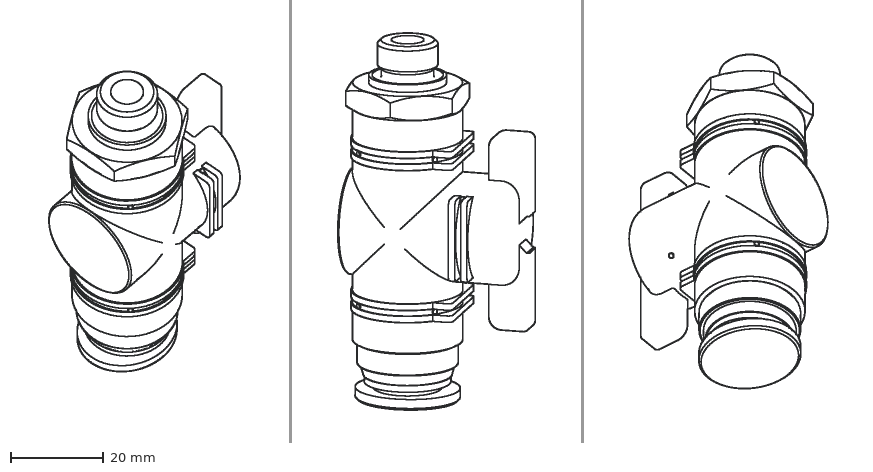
import cadquery as cq
import math


body_radius = 12.0
body_half_length = 26.1
front_disc_depth = 12.5
front_disc_chamfer = 0.4
branch_height = 25.95
branch_fillet = 4.0

hex_across_corners = 27.7
hex_top = 31.6
hex_chamfer_radius = 11.9
hex_chamfer_angle = 30

flange_radius = 8.5
flange_top = 33.3
groove_outer_radius = 7.7
groove_cone_depth = 0.7
nipple_neck_radius = 5.7
thread_radius = 6.6
thread_bottom = 35.7
thread_top = 41.2
thread_top_chamfer = 0.8
bore_radius = 3.55

cartridge_radius = 11.05
cartridge_top_chamfer = 0.5
cartridge_bottom_chamfer = 0.25
cartridge_bottom = -31.5
cone_top_radius = 10.1
cone_top = -32.6
cone_bottom_radius = 9.7
cone_bottom = -34.0
tip_radius = 9.4
tip_bottom = -35.55

collar_neck_radius = 7.4
collar_flange_top = -36.9
collar_bottom = -39.4
collar_half_width = 10.3
collar_half_depth = 11.5
collar_chamfer = 0.5

rib_thickness = 1.45
rib_gap = 1.3
rib_ring_radius = 12.3
tab_half_width = 9.1
tab_reach = 12.6
tab_corner_radius = 1.05
body_rib_height = 17.1
branch_rib_height = 14.9

stud_radius = 0.6
stud_height = 0.3

handle_half_thickness = 2.7
handle_half_length = 21.9
handle_outer = 28.2
handle_inner = 18.95
handle_outer_corner = 1.5
handle_inner_corner = 2.9
handle_edge_fillet = 0.5
notch_half_width = 4.1
notch_wall_bottom = 27.65


def cylinder(radius, bottom, top):
    """Cylinder on the Z axis."""
    return cq.Workplane("XY").workplane(offset=bottom).circle(radius).extrude(top - bottom)


def along_branch(shape):
    """Turn a shape from the Z axis onto the Y axis, sending +Y to -Z."""
    return shape.rotate((0, 0, 0), (1, 0, 0), -90)


def make_tee():
    main = cylinder(body_radius, -body_half_length, body_half_length)
    branch = cylinder(body_radius, -front_disc_depth, branch_height)
    branch = branch.faces(">Z").edges().fillet(branch_fillet)
    branch = branch.faces("<Z").edges().chamfer(front_disc_chamfer)
    return main.union(along_branch(branch))


def make_hexagon():
    """Hexagon with its corners on the X axis, both ends turned to a cone."""
    height = hex_top - body_half_length
    blank = (
        cq.Workplane("XY")
        .workplane(offset=body_half_length)
        .polygon(6, hex_across_corners)
        .extrude(height)
    )
    corner_radius = hex_across_corners / 2
    drop = (corner_radius - hex_chamfer_radius) * math.tan(math.radians(hex_chamfer_angle))
    envelope = (
        cq.Workplane("XZ")
        .moveTo(0, body_half_length)
        .lineTo(hex_chamfer_radius, body_half_length)
        .lineTo(corner_radius, body_half_length + drop)
        .lineTo(corner_radius, hex_top - drop)
        .lineTo(hex_chamfer_radius, hex_top)
        .lineTo(0, hex_top)
        .close()
        .revolve(360, (0, 0, 0), (0, 1, 0))
    )
    return blank.intersect(envelope)


def make_nipple():
    """Flange with a rounded groove round the neck, then the thread."""
    cone_inner_radius = groove_outer_radius - groove_cone_depth
    slope = math.sqrt(0.5)
    arc_radius = (cone_inner_radius - nipple_neck_radius) / (1 + slope)
    arc_center_x = nipple_neck_radius + arc_radius
    arc_center_z = flange_top - groove_cone_depth + arc_radius * slope
    undercut = thread_radius - nipple_neck_radius
    return (
        cq.Workplane("XZ")
        .moveTo(0, hex_top)
        .lineTo(flange_radius, hex_top)
        .lineTo(flange_radius, flange_top)
        .lineTo(groove_outer_radius, flange_top)
        .lineTo(cone_inner_radius, flange_top - groove_cone_depth)
        .threePointArc((arc_center_x, arc_center_z - arc_radius), (nipple_neck_radius, arc_center_z))
        .lineTo(nipple_neck_radius, thread_bottom - undercut)
        .lineTo(thread_radius, thread_bottom)
        .lineTo(thread_radius, thread_top - thread_top_chamfer)
        .lineTo(thread_radius - thread_top_chamfer, thread_top)
        .lineTo(0, thread_top)
        .close()
        .revolve(360, (0, 0, 0), (0, 1, 0))
    )


def make_cartridge():
    top = -body_half_length
    return (
        cq.Workplane("XZ")
        .moveTo(0, top)
        .lineTo(cartridge_radius - cartridge_top_chamfer, top)
        .lineTo(cartridge_radius, top - cartridge_top_chamfer)
        .lineTo(cartridge_radius, cartridge_bottom + cartridge_bottom_chamfer)
        .lineTo(cartridge_radius - cartridge_bottom_chamfer, cartridge_bottom)
        .lineTo(cone_top_radius, cartridge_bottom)
        .lineTo(cone_top_radius, cone_top)
        .lineTo(cone_bottom_radius, cone_bottom)
        .lineTo(tip_radius, cone_bottom)
        .lineTo(tip_radius, tip_bottom)
        .lineTo(0, tip_bottom)
        .close()
        .revolve(360, (0, 0, 0), (0, 1, 0))
    )


def make_tab(bottom):
    """Plate from the Z axis out to +Y with rounded outer corners."""
    return (
        cq.Workplane("XY")
        .workplane(offset=bottom)
        .center(0, tab_reach / 2)
        .rect(2 * tab_half_width, tab_reach)
        .extrude(rib_thickness)
        .edges("|Z and >Y")
        .fillet(tab_corner_radius)
    )


def rib_bottoms(height):
    """Lower faces of the two ribs centred on a height."""
    return (height - rib_gap / 2 - rib_thickness, height + rib_gap / 2)


def make_body_ribs():
    """Rings with a tab on the +Y side, above and below the branch."""
    ribs = cq.Workplane("XY")
    for height in (-body_rib_height, body_rib_height):
        for bottom in rib_bottoms(height):
            ring = cylinder(rib_ring_radius, bottom, bottom + rib_thickness)
            ribs = ribs.add(ring.union(make_tab(bottom)))
    return ribs


def make_branch_ribs():
    """Tabs on the +X side of the branch."""
    ribs = cq.Workplane("XY")
    for bottom in rib_bottoms(branch_rib_height):
        tab = make_tab(bottom).rotate((0, 0, 0), (0, 0, 1), -90)
        ribs = ribs.add(along_branch(tab))
    return ribs


def make_studs(height):
    """Four small round studs pointing away from the Z axis, 45 degrees off X and Y."""
    studs = cq.Workplane("XY")
    for angle in (45, 135, 225, 315):
        stud = (
            cq.Workplane("YZ")
            .workplane(offset=body_radius - stud_radius)
            .center(0, height)
            .circle(stud_radius)
            .extrude(stud_radius + stud_height)
            .rotate((0, 0, 0), (0, 0, 1), angle)
        )
        studs = studs.add(stud)
    return studs


def make_handle():
    """Bar across the end of the branch, notched down to the end face in the middle."""
    bar = (
        cq.Workplane("YZ")
        .workplane(offset=-handle_half_thickness)
        .center((handle_inner + handle_outer) / 2, 0)
        .rect(handle_outer - handle_inner, 2 * handle_half_length)
        .extrude(2 * handle_half_thickness)
    )
    bar = bar.edges("|X and >Y").fillet(handle_outer_corner)
    bar = bar.edges("|X and <Y").fillet(handle_inner_corner)
    bar = bar.faces("<X or >X").edges().fillet(handle_edge_fillet)
    floor_half_width = notch_half_width - (notch_wall_bottom - branch_height)
    notch = (
        cq.Workplane("YZ")
        .polyline(
            [
                (handle_outer, -notch_half_width),
                (notch_wall_bottom, -notch_half_width),
                (branch_height, -floor_half_width),
                (branch_height, floor_half_width),
                (notch_wall_bottom, notch_half_width),
                (handle_outer, notch_half_width),
            ]
        )
        .close()
        .extrude(handle_half_thickness, both=True)
    )
    return bar.cut(notch)


def make_housing():
    housing = make_tee().union(make_hexagon()).union(make_nipple()).union(make_cartridge())
    housing = housing.union(make_handle())
    details = [
        make_body_ribs(),
        make_branch_ribs(),
        make_studs(-body_rib_height),
        make_studs(body_rib_height),
        along_branch(make_studs(branch_rib_height)),
    ]
    for group in details:
        for detail in group.vals():
            housing = housing.union(cq.Workplane(detail))
    return housing.cut(cylinder(bore_radius, body_half_length, thread_top))


def make_collar():
    """Round neck under the cartridge with an oval flange, longer along Y."""
    neck = cylinder(collar_neck_radius, collar_flange_top, tip_bottom)
    flange = (
        cq.Workplane("XY")
        .workplane(offset=collar_bottom)
        .ellipse(collar_half_width, collar_half_depth)
        .extrude(collar_flange_top - collar_bottom)
        .faces("<Z")
        .edges()
        .chamfer(collar_chamfer)
    )
    return neck.union(flange)


housing = make_housing()
collar = make_collar()

result = cq.Compound.makeCompound([housing.val(), collar.val()])